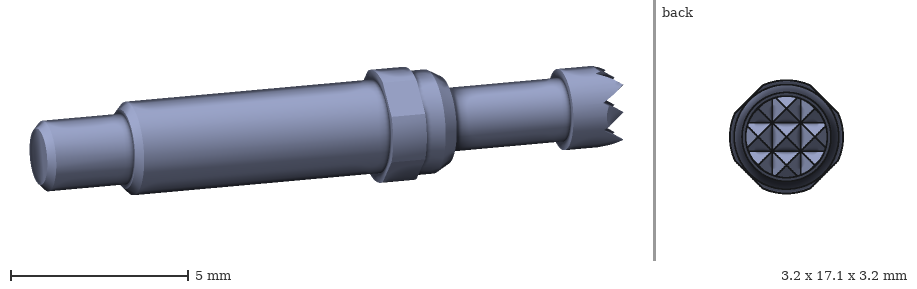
import cadquery as cq
import math


tail_diameter = 2.0
tail_length = 2.5
tail_chamfer = 0.2

barrel_diameter = 2.65
barrel_length = 7.5
barrel_chamfer = 0.2

collar_diameter = 3.2
collar_across_flats = 3.0
collar_length = 1.0
flat_angle = 45

shoulder_diameter = 2.95
shoulder_length = 1.0
shoulder_chamfer_length = 0.4
shoulder_chamfer_depth = 0.22

plunger_diameter = 1.8
plunger_length = 5.1
head_diameter = 2.3
head_length = 1.6

teeth_per_row = 3
tooth_pitch = 0.8
groove_angle = 60
quarter_turn = 90
groove_depth = tooth_pitch / 2 / math.tan(math.radians(groove_angle / 2))

barrel_back = -barrel_length
tail_end = barrel_back - tail_length
shoulder_back = collar_length
shoulder_front = shoulder_back + shoulder_length
head_tip = shoulder_front + plunger_length
head_back = head_tip - head_length


def cylinder(diameter, start, end):
    """Solid cylinder about the Y axis between two stations."""
    return cq.Workplane("XZ", origin=(0, start, 0)).circle(diameter / 2).extrude(start - end)


def make_tail():
    return cylinder(tail_diameter, tail_end, 0).faces("<Y").chamfer(tail_chamfer)


def make_barrel():
    return cylinder(barrel_diameter, barrel_back, 0).faces("<Y").chamfer(barrel_chamfer)


def make_collar():
    collar = cylinder(collar_diameter, 0, collar_length)
    flats = (
        cq.Workplane("XZ")
        .rect(collar_across_flats, collar_across_flats)
        .extrude(-collar_length)
        .rotate((0, 0, 0), (0, 1, 0), flat_angle)
    )
    return collar.intersect(flats)


def make_shoulder():
    shoulder = cylinder(shoulder_diameter, shoulder_back, shoulder_front)
    return shoulder.faces(">Y").edges().chamfer(shoulder_chamfer_length, shoulder_chamfer_depth)


def make_groove(offset):
    """V groove running along Z across the head tip, centred at X = offset."""
    half_width = tooth_pitch / 2
    return (
        cq.Workplane("XY")
        .moveTo(offset - half_width, head_tip)
        .lineTo(offset, head_tip - groove_depth)
        .lineTo(offset + half_width, head_tip)
        .close()
        .extrude(head_diameter, both=True)
    )


def make_plunger():
    stem = cylinder(plunger_diameter, shoulder_front, head_back)
    head = cylinder(head_diameter, head_back, head_tip)
    for index in range(teeth_per_row + 1):
        offset = (index - teeth_per_row / 2) * tooth_pitch
        groove = make_groove(offset)
        head = head.cut(groove)
        head = head.cut(groove.rotate((0, 0, 0), (0, 1, 0), quarter_turn))
    return stem.union(head)


result = (
    make_barrel()
    .union(make_tail())
    .union(make_collar())
    .union(make_shoulder())
    .union(make_plunger())
)